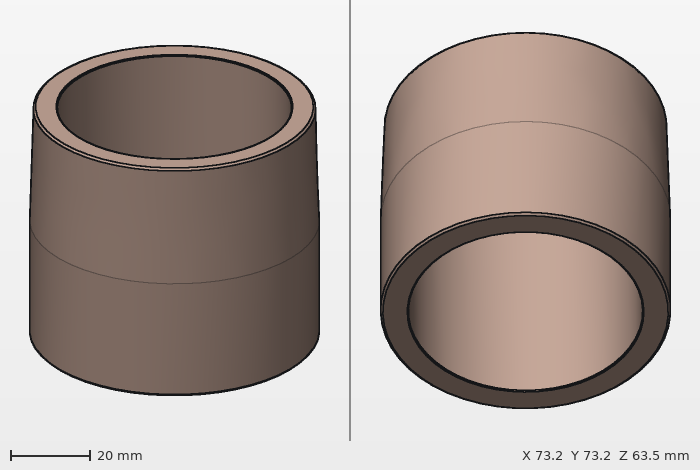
import cadquery as cq

outer_diameter = 73.15
height = 63.5
bore_diameter = 59.1

taper_start_height = height / 2
top_diameter = 71.25

edge_chamfer = 0.6
bore_chamfer = 0.3

outer_radius = outer_diameter / 2
top_radius = top_diameter / 2


def make_body():
    """Solid cylinder with a slightly tapered upper half."""
    profile = (
        cq.Workplane("XZ")
        .moveTo(0, 0)
        .lineTo(outer_radius, 0)
        .lineTo(outer_radius, taper_start_height)
        .lineTo(top_radius, height)
        .lineTo(0, height)
        .close()
    )
    return profile.revolve(360, (0, 0, 0), (0, 1, 0))


def cut_bore(body):
    """Through bore with a small chamfer at both mouths."""
    bored = body.faces(">Z").workplane().hole(bore_diameter)
    mouths = cq.selectors.RadiusNthSelector(0)
    return bored.edges(mouths).chamfer(bore_chamfer)


body = make_body().faces("<Z or >Z").edges().chamfer(edge_chamfer)
result = cut_bore(body)